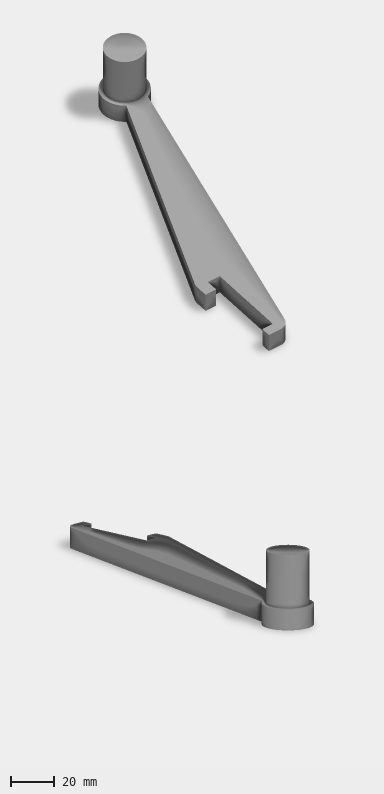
import cadquery as cq
import math

hub_diameter = 24.1
pin_diameter = 20.0
arm_thickness = 10.0
total_height = 35.0

hub_radius = hub_diameter / 2
upper_edge_angle = -4.5
lower_edge_angle = -62.8

mouth_x = 91.3
mouth_y = -101.2
fork_tilt = -30
mouth_length = 40.8
mouth_depth = 6.8
claw_width = 6.0
claw_reach = 6.3
claw_heel = 1.5
finger_width = 5.0
finger_length = 6.0
shoulder_height = 5.2
shoulder_radius = 6.0
heel_radius = 7.2


def hub_rim_point(angle):
    """Point on the hub rim at an angle in degrees from +X."""
    turn = math.radians(angle)
    return hub_radius * math.cos(turn), hub_radius * math.sin(turn)


def fork_point(along, across):
    """Part coordinates of a point measured along and across the tilted mouth."""
    tilt = math.radians(fork_tilt)
    x = mouth_x + along * math.cos(tilt) - across * math.sin(tilt)
    y = mouth_y + along * math.sin(tilt) + across * math.cos(tilt)
    return x, y


def round_corner(body, corner, radius):
    """Round the vertical edge that stands on the given corner."""
    edge = cq.selectors.NearestToPointSelector((*corner, arm_thickness / 2))
    return body.edges("|Z").edges(edge).fillet(radius)


def make_arm():
    finger_outer = mouth_length + finger_width
    claw_bottom = -mouth_depth - claw_width
    shoulder = fork_point(finger_outer, shoulder_height)
    heel = fork_point(-claw_heel, claw_bottom)
    outline = [
        (0, 0),
        hub_rim_point(upper_edge_angle),
        shoulder,
        fork_point(finger_outer, -finger_length),
        fork_point(mouth_length, -finger_length),
        fork_point(mouth_length, 0),
        fork_point(0, 0),
        fork_point(0, -mouth_depth),
        fork_point(claw_reach, -mouth_depth),
        fork_point(claw_reach, claw_bottom),
        heel,
        hub_rim_point(lower_edge_angle),
    ]
    arm = cq.Workplane("XY").polyline(outline).close().extrude(arm_thickness)
    arm = round_corner(arm, shoulder, shoulder_radius)
    return round_corner(arm, heel, heel_radius)


hub = cq.Workplane("XY").circle(hub_radius).extrude(arm_thickness)
pin = cq.Workplane("XY").circle(pin_diameter / 2).extrude(total_height)
result = make_arm().union(hub).union(pin)